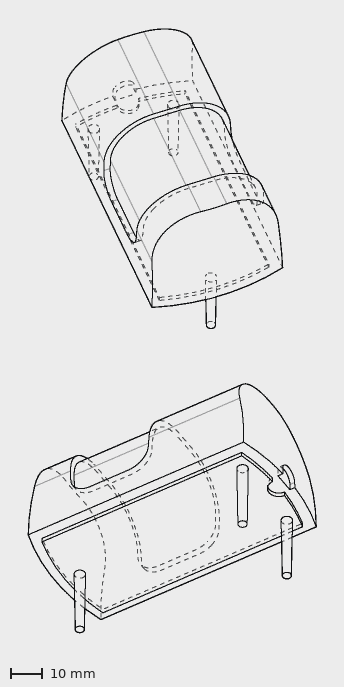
import cadquery as cq
import math

LENGTH = 86.7
WIDTH = 44.45
HOOD_HEIGHT = 37.9
DRAFT = math.tan(math.radians(2))
SHOULDER_RADIUS = 17.1

END_BULGE = 3.4
END_LEAN = 6.4

SADDLE_DEPTH = 2.2
SADDLE_CENTER_X = 10.1
SADDLE_TOP_WIDTH = 30.2
SADDLE_FLOOR_Z = 10.1
SADDLE_CORNER_RADIUS = 7.4

PLINTH_THICKNESS = 1.6
PLINTH_WIDTH = 37.2
PLINTH_END_INSET = 3.8

NOTCH_WIDTH = 7.3
NOTCH_HEIGHT = 6.0
NOTCH_DEPTH = 1.9

PIN_LENGTH = 24.9
PIN_TOP_DIAMETER = 3.6
PIN_TIP_DIAMETER = 2.95
PIN_X = 34.3
PIN_Y = 13.5
PIN_POSITIONS = [(-PIN_X, -PIN_Y), (-PIN_X, PIN_Y), (PIN_X, 0)]

END_PLAN_RADIUS = ((WIDTH / 2) ** 2 + END_BULGE**2) / (2 * END_BULGE)
END_LEAN_RADIUS = (HOOD_HEIGHT**2 + END_LEAN**2) / (2 * END_LEAN)
END_AXIS_X = LENGTH / 2 - END_PLAN_RADIUS


def arched_bar(inset):
    """Bar along X with drafted sides and a rounded top, offset inward by inset."""
    top = HOOD_HEIGHT - inset
    side_inset = inset * math.hypot(1, DRAFT)
    half_base = WIDTH / 2 - side_inset
    half_top = half_base - top * DRAFT
    return (
        cq.Workplane("YZ")
        .polyline([(-half_base, 0), (half_base, 0), (half_top, top), (-half_top, top)])
        .close()
        .extrude(LENGTH / 2, both=True)
        .edges("|X and >Z")
        .fillet(SHOULDER_RADIUS - inset)
    )


def bulged_end(side):
    """Solid of revolution whose outer skin is the end face on the given X side."""
    lean_angle = math.asin(HOOD_HEIGHT / END_LEAN_RADIUS) / 2
    mid_radius = END_PLAN_RADIUS - END_LEAN_RADIUS * (1 - math.cos(lean_angle))
    mid_z = END_LEAN_RADIUS * math.sin(lean_angle)
    return (
        cq.Workplane("XZ")
        .lineTo(END_PLAN_RADIUS, 0)
        .threePointArc((mid_radius, mid_z), (END_PLAN_RADIUS - END_LEAN, HOOD_HEIGHT))
        .lineTo(0, HOOD_HEIGHT)
        .close()
        .revolve(360, (0, 0), (0, 1))
        .translate((side * END_AXIS_X, 0, 0))
    )


def saddle_cut():
    """U-shaped band between the outer hood skin and the inner saddle skin."""
    half_top = SADDLE_TOP_WIDTH / 2
    half_floor = half_top - (HOOD_HEIGHT - SADDLE_FLOOR_Z) * DRAFT
    window = (
        cq.Workplane("XZ")
        .polyline([
            (SADDLE_CENTER_X - half_floor, SADDLE_FLOOR_Z),
            (SADDLE_CENTER_X + half_floor, SADDLE_FLOOR_Z),
            (SADDLE_CENTER_X + half_top, HOOD_HEIGHT),
            (SADDLE_CENTER_X - half_top, HOOD_HEIGHT),
        ])
        .close()
        .extrude(WIDTH / 2, both=True)
        .edges("|Y and <Z")
        .fillet(SADDLE_CORNER_RADIUS)
    )
    return window.cut(arched_bar(SADDLE_DEPTH))


def plinth():
    """Flat plate with ends concentric to the hood ends."""
    half_width = PLINTH_WIDTH / 2
    end_x = LENGTH / 2 - PLINTH_END_INSET
    end_radius = END_PLAN_RADIUS - PLINTH_END_INSET
    corner_x = END_AXIS_X + math.sqrt(end_radius**2 - half_width**2)
    return (
        cq.Workplane("XY")
        .moveTo(-corner_x, -half_width)
        .lineTo(corner_x, -half_width)
        .threePointArc((end_x, 0), (corner_x, half_width))
        .lineTo(-corner_x, half_width)
        .threePointArc((-end_x, 0), (-corner_x, -half_width))
        .close()
        .extrude(-PLINTH_THICKNESS)
    )


def plinth_scoop():
    """Half-round scoop in the plinth edge under the cable notch."""
    return (
        cq.Workplane("XY")
        .center(PLINTH_END_INSET - LENGTH / 2, 0)
        .circle(NOTCH_WIDTH / 2)
        .extrude(-PLINTH_THICKNESS)
    )


def cable_notch():
    """Round-topped pocket entering the hood from the -X end."""
    half_width = NOTCH_WIDTH / 2
    spring_z = NOTCH_HEIGHT - half_width
    return (
        cq.Workplane("YZ", origin=(-LENGTH / 2, 0, 0))
        .moveTo(-half_width, 0)
        .lineTo(half_width, 0)
        .lineTo(half_width, spring_z)
        .threePointArc((0, NOTCH_HEIGHT), (-half_width, spring_z))
        .close()
        .extrude(NOTCH_DEPTH)
    )


def pins():
    """Round pins tapering from the plinth underside to their tips."""
    return (
        cq.Workplane("XY", origin=(0, 0, -PLINTH_THICKNESS))
        .pushPoints(PIN_POSITIONS)
        .circle(PIN_TOP_DIAMETER / 2)
        .extrude(-PIN_LENGTH, taper=math.degrees(
            math.atan((PIN_TOP_DIAMETER - PIN_TIP_DIAMETER) / 2 / PIN_LENGTH)
        ))
    )


hood = arched_bar(0)
for end_side in (-1, 1):
    hood = hood.intersect(bulged_end(end_side))
hood = hood.cut(saddle_cut()).cut(cable_notch())

base = plinth().cut(plinth_scoop())
result = hood.union(base).union(pins())